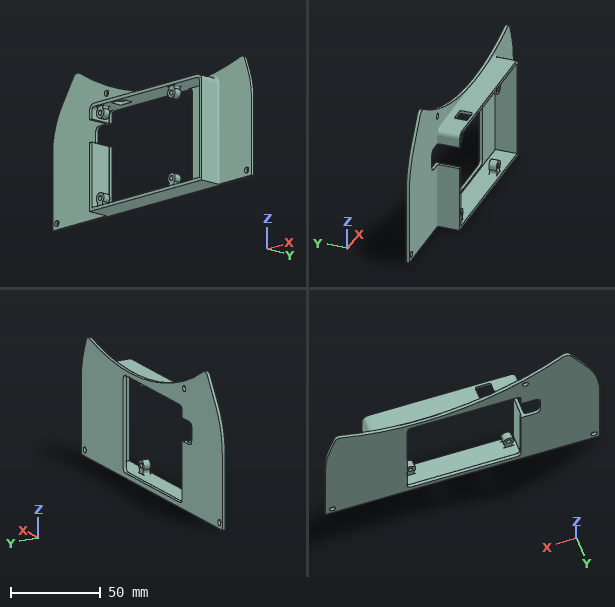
import cadquery as cq
import math

plate_width = 161.8
plate_thickness = 2.0
total_depth = 15.0
frame_depth = total_depth - plate_thickness

side_height = 44.8
side_radius = 48.5
sweep_radius = 157.0
sweep_center_x = 105.2
sweep_low_z = 63.0
left_tip_x = 19.0
right_tip_x = 155.3
left_tip_radius = 3.7
right_tip_radius = 2.8

frame_left = 44.0
frame_right = 135.3
frame_height = 62.0
frame_wall = 2.0
frame_corner_radius = 4.0
root_fillet = 1.05

window_left = 46.5
window_right = 113.6
window_bottom = 3.0
window_top = frame_height - frame_wall
window_corner_radius = 2.5

notch_left = 35.1
notch_bottom = 39.8
notch_top = 53.0
notch_corner_radius = 2.9

port_left = 59.9
port_width = 9.0
port_back = -3.9
port_depth = 7.5
port_corner_radius = 1.0

mount_diameter = 3.2
mount_points = [(3.4, 3.7), (157.8, 3.7), (43.9, 70.9)]

lug_xs = (50.8, 108.7)
lower_lug_z = 6.8
upper_lug_z = 56.2
lug_diameter = 6.1
lug_hole_diameter = 2.8
lug_neck_width = 4.2
lug_flare_radius = 1.0
lug_front = 1.8 - frame_depth
lug_length = 4.5


def block(left, right, bottom, top, front, back):
    """Box given by its limits along X, Z and Y."""
    size = (right - left, back - front, top - bottom)
    return cq.Workplane("XY").box(*size, centered=False).translate((left, front, bottom))


def front_plane(y):
    """XZ sketch plane at the given Y; a negative extrusion runs toward +Y."""
    return cq.Workplane("XZ", origin=(0, y, 0))


def sweep_z(x):
    """Height of the concave upper edge at x."""
    rise = sweep_radius - math.sqrt(sweep_radius**2 - (x - sweep_center_x) ** 2)
    return sweep_low_z + rise


def side_arc(tip_x, edge_x, inward):
    """Middle and end of the side arc whose end tangent passes through the tip."""
    center_x = edge_x + inward * side_radius
    run = (center_x - tip_x) * inward
    rise = sweep_z(tip_x) - side_height
    end_angle = math.atan2(rise, run) - math.acos(side_radius / math.hypot(run, rise))

    def point(angle):
        x = center_x - inward * side_radius * math.cos(angle)
        return x, side_height + side_radius * math.sin(angle)

    return point(end_angle / 2), point(end_angle)


def outline_solid():
    """Plate outline carried through the full depth of the part."""
    left_mid, left_end = side_arc(left_tip_x, 0, 1)
    right_mid, right_end = side_arc(right_tip_x, plate_width, -1)
    solid = (
        front_plane(-frame_depth)
        .moveTo(0, 0)
        .lineTo(0, side_height)
        .threePointArc(left_mid, left_end)
        .lineTo(left_tip_x, sweep_z(left_tip_x))
        .threePointArc((sweep_center_x, sweep_low_z), (right_tip_x, sweep_z(right_tip_x)))
        .lineTo(*right_end)
        .threePointArc(right_mid, (plate_width, side_height))
        .lineTo(plate_width, 0)
        .close()
        .extrude(-total_depth)
    )
    for tip_x, radius in ((left_tip_x, left_tip_radius), (right_tip_x, right_tip_radius)):
        tip = (tip_x, 0, sweep_z(tip_x))
        solid = solid.edges("|Y").edges(cq.selectors.NearestToPointSelector(tip)).fillet(radius)
    return solid


def lug(x, z, wall_z):
    """Bored ring joined to a frame wall by a neck that flares at the wall."""
    away = 1 if z > wall_z else -1
    half_neck = lug_neck_width / 2
    flare_z = wall_z + away * lug_flare_radius
    ring = front_plane(lug_front).center(x, z).circle(lug_diameter / 2).extrude(-lug_length)
    root = half_neck + lug_flare_radius
    bend = lug_flare_radius * (1 - math.sqrt(0.5))
    neck = (
        front_plane(lug_front)
        .moveTo(x - root, wall_z)
        .threePointArc((x - half_neck - bend, wall_z + away * bend), (x - half_neck, flare_z))
        .lineTo(x - half_neck, z)
        .lineTo(x + half_neck, z)
        .lineTo(x + half_neck, flare_z)
        .threePointArc((x + half_neck + bend, wall_z + away * bend), (x + root, wall_z))
        .close()
        .extrude(-lug_length)
    )
    bore = front_plane(lug_front).center(x, z).circle(lug_hole_diameter / 2).extrude(-lug_length)
    return ring.union(neck).cut(bore)


outline = outline_solid()
blank = block(0, plate_width, 0, outline.val().BoundingBox().zmax, 0, plate_thickness)
frame = block(frame_left, frame_right, 0, frame_height, -frame_depth, 0)
frame = frame.edges("|Y and >Z").fillet(frame_corner_radius)
body = blank.union(frame)
margin = 0.2
root_edges = cq.selectors.BoxSelector(
    (frame_left - margin, -margin, margin), (frame_right + margin, margin, frame_height + margin)
)
body = body.edges(root_edges).fillet(root_fillet)
body = body.intersect(outline)

hollow = block(
    frame_left + frame_wall, frame_right - frame_wall, frame_wall, window_top, -frame_depth, 0
)
hollow = hollow.edges("|Y and >Z").fillet(frame_corner_radius - frame_wall)
body = body.cut(hollow)

window = block(window_left, window_right, window_bottom, window_top, 0, plate_thickness)
body = body.cut(window.edges("|Y").fillet(window_corner_radius))

notch = block(notch_left, window_left, notch_bottom, notch_top, -frame_depth, plate_thickness)
body = body.cut(notch.edges("|Y and <X").fillet(notch_corner_radius))

port = block(
    port_left, port_left + port_width, window_top, frame_height, port_back - port_depth, port_back
)
body = body.cut(port.edges("|Z").fillet(port_corner_radius))

mounts = front_plane(0).pushPoints(mount_points).circle(mount_diameter / 2).extrude(-plate_thickness)
body = body.cut(mounts)

for lug_x in lug_xs:
    body = body.union(lug(lug_x, lower_lug_z, frame_wall))
    body = body.union(lug(lug_x, upper_lug_z, window_top))

result = body